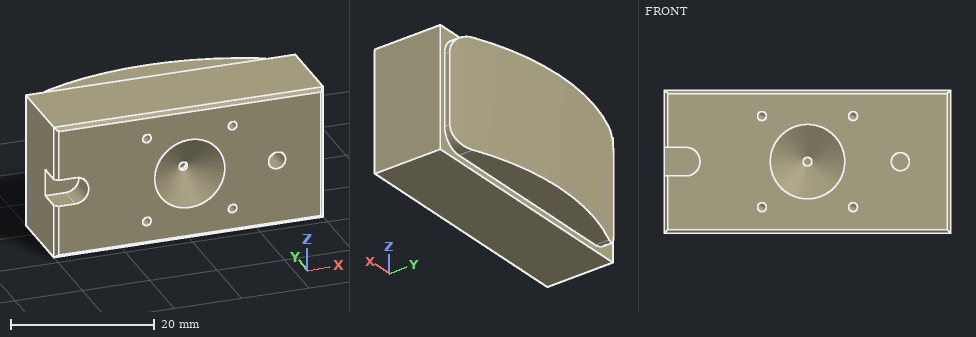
import cadquery as cq
import math

length = 40.0
height = 20.0
depth = 12.0
front_chamfer = 0.5

slot_width = 4.0
slot_length = 5.0
slot_depth = 4.0

cone_diameter = 10.4
cone_angle = 120.0
bore_diameter = 1.2
bore_length = 0.6

locating_diameter = 2.5
locating_x = 12.95
locating_depth = slot_depth

screw_diameter = 1.25
screw_pitch = 12.7
screw_depth = 4.0
drill_tip_angle = 118.0

pad_length = 38.05
pad_height = 18.1
pad_corner_radius = 3.2
pad_peak = 5.7
dome_radius = 40.0


def cone_height(diameter, full_angle):
    """Axial height of a cone of the given base diameter and full angle."""
    return diameter / 2 / math.tan(math.radians(full_angle / 2))


def turned_cutter(profile, x=0, z=0):
    """Revolve (radius, depth) points about an axis parallel to Y."""
    return (
        cq.Workplane("XY")
        .polyline(profile)
        .close()
        .revolve(360, (0, 0, 0), (0, 1, 0))
        .translate((x, 0, z))
    )


def slot_cutter():
    end_radius = slot_width / 2
    straight = slot_length - end_radius
    return (
        cq.Workplane("XZ", origin=(-length / 2, 0, 0))
        .moveTo(0, -end_radius)
        .lineTo(straight, -end_radius)
        .threePointArc((slot_length, 0), (straight, end_radius))
        .lineTo(0, end_radius)
        .close()
        .extrude(-slot_depth)
    )


def conical_recess_cutter():
    cone_radius = cone_diameter / 2
    bore_radius = bore_diameter / 2
    cone_depth = cone_height(cone_diameter - bore_diameter, cone_angle)
    bore_depth = cone_depth + bore_length
    return turned_cutter([
        (0, 0),
        (cone_radius, 0),
        (bore_radius, cone_depth),
        (bore_radius, bore_depth),
        (0, bore_depth),
    ])


def screw_hole_cutter(x, z):
    radius = screw_diameter / 2
    tip_depth = screw_depth + cone_height(screw_diameter, drill_tip_angle)
    return turned_cutter([(0, 0), (radius, 0), (radius, screw_depth), (0, tip_depth)], x, z)


def make_housing():
    block = (
        cq.Workplane("XY")
        .box(length, depth, height)
        .translate((0, depth / 2, 0))
        .faces("<Y")
        .chamfer(front_chamfer)
    )
    locating_hole = (
        cq.Workplane("XZ", origin=(locating_x, 0, 0))
        .circle(locating_diameter / 2)
        .extrude(-locating_depth)
    )
    block = block.cut(slot_cutter()).cut(conical_recess_cutter()).cut(locating_hole)
    for side_x in (-1, 1):
        for side_z in (-1, 1):
            block = block.cut(screw_hole_cutter(side_x * screw_pitch / 2, side_z * screw_pitch / 2))
    return block


def make_domed_pad():
    """Rounded rectangular pad whose back is a cylinder with its axis along Z."""
    pad = (
        cq.Workplane("XZ", origin=(0, depth, 0))
        .rect(pad_length, pad_height)
        .extrude(-pad_peak)
        .edges("|Y")
        .fillet(pad_corner_radius)
    )
    dome = (
        cq.Workplane("XY", origin=(0, depth + pad_peak - dome_radius, -pad_height / 2))
        .circle(dome_radius)
        .extrude(pad_height)
    )
    return pad.intersect(dome)


housing = make_housing()
domed_pad = make_domed_pad()
result = cq.Compound.makeCompound([housing.val(), domed_pad.val()])